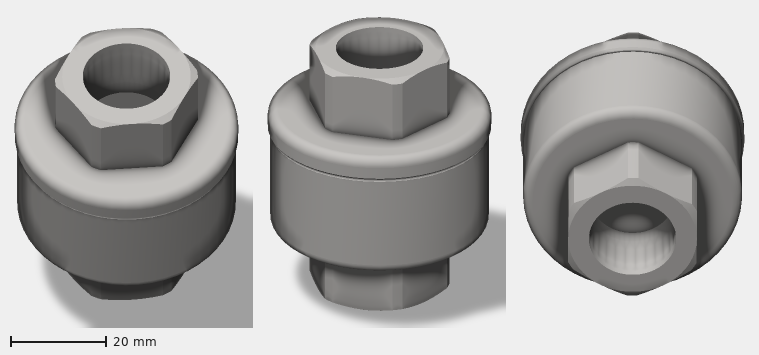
import cadquery as cq
import math

total_height = 55.5
half_height = total_height / 2

cap_diameter = 47.0
body_diameter = 46.0
housing_height = 27.55
housing_top = housing_height / 2
housing_bottom = -housing_top
rim_radius = 2.0
joint_chamfer = 0.5
joint_z = 8.7

across_flats = 27.05
across_corners = 30.0
hex_chamfer_height = 0.8

port_mouth_diameter = 18.35
port_taper = 1 / 16
taper_depth = 11.75
port_depth = 15.0


def revolve_profile(profile):
    """Turn a closed XZ half-profile about the Z axis."""
    return profile.close().revolve(360, (0, 0, 0), (0, 1, 0))


def make_housing():
    """Cap and body with rounded outer rims and a small V-groove at their joint."""
    cap_r = cap_diameter / 2
    body_r = body_diameter / 2
    rim_mid = rim_radius * (1 - math.sqrt(0.5))
    profile = (
        cq.Workplane("XZ")
        .moveTo(0, housing_bottom)
        .lineTo(body_r - rim_radius, housing_bottom)
        .threePointArc(
            (body_r - rim_mid, housing_bottom + rim_mid),
            (body_r, housing_bottom + rim_radius),
        )
        .lineTo(body_r, joint_z - joint_chamfer)
        .lineTo(body_r - joint_chamfer, joint_z)
        .lineTo(cap_r - joint_chamfer, joint_z)
        .lineTo(cap_r, joint_z + joint_chamfer)
        .lineTo(cap_r, housing_top - rim_radius)
        .threePointArc(
            (cap_r - rim_mid, housing_top - rim_mid),
            (cap_r - rim_radius, housing_top),
        )
        .lineTo(0, housing_top)
    )
    return revolve_profile(profile)


def make_hex_bar():
    """Full-height hexagon, trimmed by a turned envelope that rounds its corners and bevels its ends."""
    hexagon = (
        cq.Workplane("XY")
        .workplane(offset=-half_height)
        .polygon(6, across_flats / math.cos(math.pi / 6))
        .extrude(total_height)
    )
    corner_r = across_corners / 2
    face_r = across_flats / 2
    shoulder_z = half_height - hex_chamfer_height
    envelope = (
        cq.Workplane("XZ")
        .moveTo(0, -half_height)
        .lineTo(face_r, -half_height)
        .lineTo(corner_r, -shoulder_z)
        .lineTo(corner_r, shoulder_z)
        .lineTo(face_r, half_height)
        .lineTo(0, half_height)
    )
    return hexagon.intersect(revolve_profile(envelope))


def make_port():
    """Blind bore entering from the top face: tapered mouth, then straight to the floor."""
    mouth_r = port_mouth_diameter / 2
    straight_r = mouth_r - taper_depth * port_taper / 2
    floor_z = half_height - port_depth
    profile = (
        cq.Workplane("XZ")
        .moveTo(0, half_height)
        .lineTo(mouth_r, half_height)
        .lineTo(straight_r, half_height - taper_depth)
        .lineTo(straight_r, floor_z)
        .lineTo(0, floor_z)
    )
    return revolve_profile(profile)


top_port = make_port()
bottom_port = top_port.mirror("XY")

result = make_housing().union(make_hex_bar()).cut(top_port).cut(bottom_port)